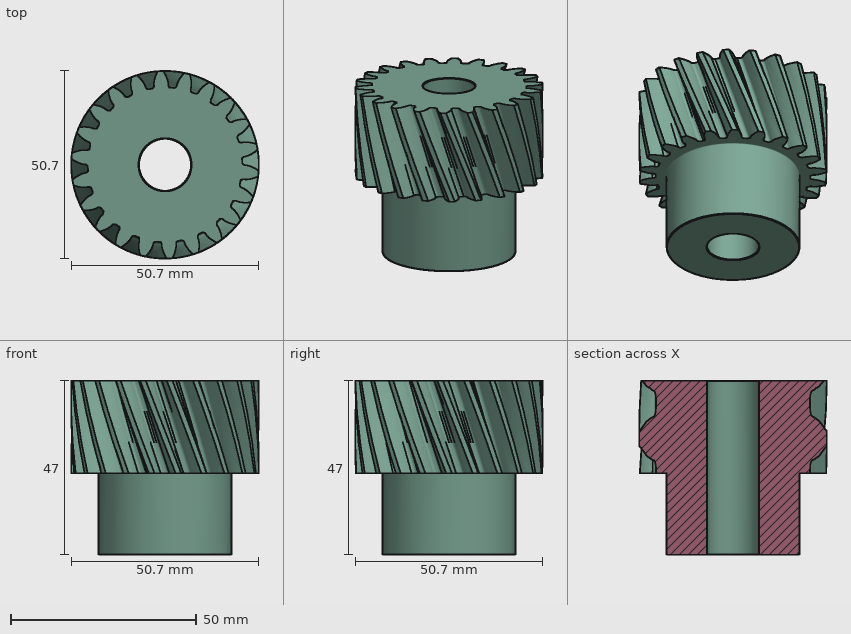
import cadquery as cq
import math

TEETH = 22
TIP_DIAMETER = 50.7
HELIX_ANGLE = math.radians(19.53)
NORMAL_PRESSURE_ANGLE = math.radians(20.0)
ADDENDUM_FACTOR = 1.0
DEDENDUM_FACTOR = 1.25
FACE_WIDTH = 25.0
TOTAL_HEIGHT = 47.0
HUB_DIAMETER = 36.0
BORE_DIAMETER = 14.0
EDGE_BREAK = 0.2
ROOT_FILLET = 0.8
FLANK_STEPS = 4

TRANSVERSE_TEETH = TEETH / math.cos(HELIX_ANGLE)
NORMAL_MODULE = TIP_DIAMETER / (TRANSVERSE_TEETH + 2 * ADDENDUM_FACTOR)
TIP_RADIUS = TIP_DIAMETER / 2
PITCH_RADIUS = NORMAL_MODULE * TRANSVERSE_TEETH / 2
ROOT_RADIUS = PITCH_RADIUS - DEDENDUM_FACTOR * NORMAL_MODULE
PRESSURE_ANGLE = math.atan(math.tan(NORMAL_PRESSURE_ANGLE) / math.cos(HELIX_ANGLE))
BASE_RADIUS = PITCH_RADIUS * math.cos(PRESSURE_ANGLE)
TOOTH_PITCH = 2 * math.pi / TEETH
HUB_HEIGHT = TOTAL_HEIGHT - FACE_WIDTH

TWIST = -math.degrees(FACE_WIDTH * math.tan(HELIX_ANGLE) / PITCH_RADIUS)


def polar(radius, angle):
    return radius * math.cos(angle), radius * math.sin(angle)


def involute(pressure_angle):
    return math.tan(pressure_angle) - pressure_angle


def half_tooth_angle(radius):
    """Half the angle a tooth spans at a radius on its involute flank."""
    roll = involute(math.acos(min(1.0, BASE_RADIUS / radius)))
    return TOOTH_PITCH / 4 + involute(PRESSURE_ANGLE) - roll


def gear_outline():
    """Transverse section of the rim, with one tooth centred on +X."""
    step = (TIP_RADIUS - BASE_RADIUS) / FLANK_STEPS
    flank_radii = [BASE_RADIUS + step * i for i in range(FLANK_STEPS + 1)]
    base_half = half_tooth_angle(BASE_RADIUS)
    tip_half = half_tooth_angle(TIP_RADIUS)

    fillet_centre_radius = ROOT_RADIUS + ROOT_FILLET
    fillet_offset = math.asin(ROOT_FILLET / fillet_centre_radius)
    foot_radius = fillet_centre_radius * math.cos(fillet_offset)
    root_half = base_half + fillet_offset

    def fillet_middle(centre_angle, side):
        """Middle of the fillet arc on one side (-1 or +1) of a tooth."""
        angle = centre_angle + side * root_half
        centre_x, centre_y = polar(fillet_centre_radius, angle)
        root_x, root_y = polar(1, angle + math.pi)
        flank_x, flank_y = polar(1, centre_angle + side * (base_half - math.pi / 2))
        reach = ROOT_FILLET / math.hypot(root_x + flank_x, root_y + flank_y)
        return centre_x + reach * (root_x + flank_x), centre_y + reach * (root_y + flank_y)

    outline = cq.Workplane("XY", origin=(0, 0, HUB_HEIGHT)).moveTo(*polar(ROOT_RADIUS, -root_half))
    for tooth in range(TEETH):
        centre = tooth * TOOTH_PITCH
        space_centre = centre + TOOTH_PITCH / 2
        next_root = centre + TOOTH_PITCH - root_half
        rising = [polar(r, centre - half_tooth_angle(r)) for r in flank_radii]
        falling = [polar(r, centre + half_tooth_angle(r)) for r in reversed(flank_radii)]
        outline = (
            outline
            .threePointArc(fillet_middle(centre, -1), polar(foot_radius, centre - base_half))
            .lineTo(*rising[0])
            .spline(rising[1:], includeCurrent=True)
            .threePointArc(polar(TIP_RADIUS, centre), polar(TIP_RADIUS, centre + tip_half))
            .spline(falling[1:], includeCurrent=True)
            .lineTo(*polar(foot_radius, centre + base_half))
            .threePointArc(fillet_middle(centre, 1), polar(ROOT_RADIUS, centre + root_half))
            .threePointArc(polar(ROOT_RADIUS, space_centre), polar(ROOT_RADIUS, next_root))
        )
    return outline.close()


def hub():
    """Revolved hub: chamfered lower rim and a small fillet up to the toothed rim."""
    radius = HUB_DIAMETER / 2
    fillet_reach = EDGE_BREAK * (1 - math.sqrt(0.5))
    return (
        cq.Workplane("XZ")
        .lineTo(radius - EDGE_BREAK, 0)
        .lineTo(radius, EDGE_BREAK)
        .lineTo(radius, HUB_HEIGHT - EDGE_BREAK)
        .threePointArc(
            (radius + fillet_reach, HUB_HEIGHT - fillet_reach),
            (radius + EDGE_BREAK, HUB_HEIGHT),
        )
        .lineTo(0, HUB_HEIGHT)
        .close()
        .revolve(360, (0, 0, 0), (0, 1, 0))
    )


def bore():
    """Through hole with a small chamfer at both ends."""
    radius = BORE_DIAMETER / 2
    return (
        cq.Workplane("XZ")
        .lineTo(radius + EDGE_BREAK, 0)
        .lineTo(radius, EDGE_BREAK)
        .lineTo(radius, TOTAL_HEIGHT - EDGE_BREAK)
        .lineTo(radius + EDGE_BREAK, TOTAL_HEIGHT)
        .lineTo(0, TOTAL_HEIGHT)
        .close()
        .revolve(360, (0, 0, 0), (0, 1, 0))
    )


toothed_rim = gear_outline().twistExtrude(FACE_WIDTH, TWIST)
result = toothed_rim.union(hub()).cut(bore())